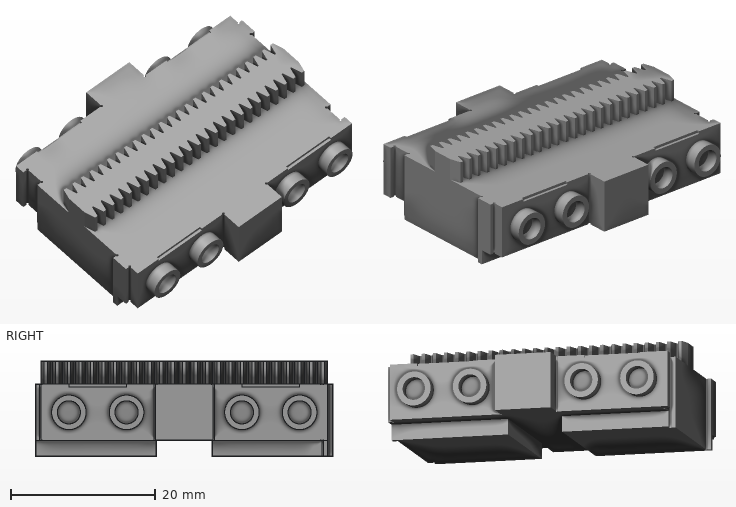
import cadquery as cq

body_width = 25.4
body_length = 39.8
body_top = 10.0
flank_bottom = 2.2
plinth_width = 18.4
cross_slot_width = 7.75

overall_width = 31.8
tongue_length = 8.0

joint_offset = 9.7
tab_width = 2.65
tab_height = 0.7
notch_width = 2.95
notch_depth = 0.8
relief_radius = 0.2

pin_diameter = 4.8
pin_bore = 3.2
pin_length = 1.8
pin_positions = (-16.0, -8.0, 8.0, 16.0)
pin_height = (flank_bottom + body_top) / 2

step_length = 8.0
step_size = 0.4
step_position = 12.0

rack_height = 3.2
rack_tip = 3.27
rack_root = 1.6
tooth_pitch = 1.6
tip_flat = 0.45
gap_floor = 0.2
gap_count = 26

half_width = body_width / 2
half_length = body_length / 2


def box(x_size, y_size, z_bottom, z_top, x=0.0, y=0.0):
    """Box centred on (x, y) between two heights."""
    solid = cq.Workplane("XY").box(x_size, y_size, z_top - z_bottom, centered=(True, True, False))
    return solid.translate((x, y, z_bottom))


def drill_reliefs(block, points):
    """Cut round reliefs through the full height at inside corners."""
    reliefs = cq.Workplane("XY").pushPoints(points).circle(relief_radius).extrude(body_top)
    return block.cut(reliefs)


def make_body():
    """Block with tongues, tabs, notches and their corner reliefs."""
    block = box(body_width, body_length, 0, body_top)
    block = block.union(box(overall_width, tongue_length, 0, body_top))
    relief_points = []
    for end in (-1, 1):
        end_face = end * half_length
        tab_x = -end * joint_offset
        notch_x = end * joint_offset
        notch_floor = end_face - end * notch_depth
        block = block.union(box(tab_width, 2 * tab_height, 0, body_top, tab_x, end_face))
        block = block.cut(box(notch_width, 2 * notch_depth, 0, body_top, notch_x, end_face))
        for side in (-1, 1):
            relief_points.append((tab_x + side * tab_width / 2, end_face))
            relief_points.append((notch_x + side * notch_width / 2, notch_floor))
            relief_points.append((side * half_width, end * tongue_length / 2))
    return drill_reliefs(block, relief_points)


def cut_underside(block):
    """Raise the flanks above the plinth and cut the slot across it."""
    full_length = body_length + 2 * tab_height
    flank_width = (overall_width - plinth_width) / 2
    flank_x = (overall_width + plinth_width) / 4
    for side in (-1, 1):
        block = block.cut(box(flank_width, full_length, 0, flank_bottom, side * flank_x))
    return block.cut(box(plinth_width, cross_slot_width, 0, flank_bottom))


def cut_edge_steps(block):
    """Cut the shallow steps along the top edges of the long sides."""
    for side in (-1, 1):
        for y in (-step_position, step_position):
            step = box(2 * step_size, step_length, body_top - step_size, body_top, side * half_width, y)
            block = block.cut(step)
    return block


def add_pins(block):
    """Add the tubular pins, whose bores end at the side faces."""
    pin_centres = [(y, pin_height) for y in pin_positions]
    for side in (-1, 1):
        pins = (
            cq.Workplane("YZ", origin=(side * half_width, 0, 0))
            .pushPoints(pin_centres)
            .circle(pin_diameter / 2)
            .circle(pin_bore / 2)
            .extrude(side * pin_length)
        )
        block = block.union(pins)
    return block


def make_tooth_gap(side, y):
    """Tapered prism that forms one gap on the given side of the rack."""
    gap_mouth = tooth_pitch - tip_flat
    outline = [
        (side * rack_root, y - gap_floor / 2),
        (side * rack_tip, y - gap_mouth / 2),
        (side * rack_tip, y + gap_mouth / 2),
        (side * rack_root, y + gap_floor / 2),
    ]
    return cq.Workplane("XY", origin=(0, 0, body_top)).polyline(outline).close().extrude(rack_height)


def make_rack():
    """Straight bar with tapered tooth gaps along both long sides."""
    rack = box(2 * rack_tip, body_length, body_top, body_top + rack_height)
    first_gap = -(gap_count - 1) / 2 * tooth_pitch
    for side in (-1, 1):
        for i in range(gap_count):
            rack = rack.cut(make_tooth_gap(side, first_gap + i * tooth_pitch))
    return rack


body = add_pins(cut_edge_steps(cut_underside(make_body())))
result = body.union(make_rack())